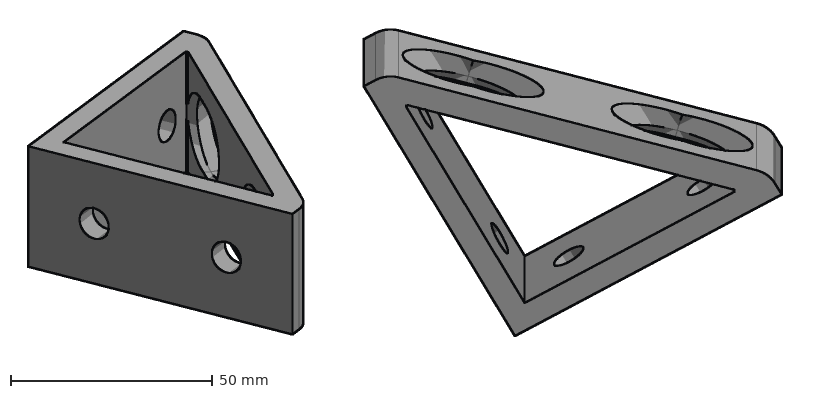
import cadquery as cq

leg_length = 76.2
height = 33.3
wall = 6.5
brace_reach = 82.7
tip_radius = 7.6
cavity_tip_flat = 0.6
screw_diameter = 8.4
access_diameter = 19.2
screw_positions = (leg_length / 4, leg_length * 3 / 4)

brace_end = brace_reach - leg_length
cavity_reach = brace_reach - wall * 2 ** 0.5
cavity_tip = cavity_reach - wall - cavity_tip_flat
cavity_blunt = wall + cavity_tip_flat
mid_height = height / 2


def make_body():
    """Triangular prism with rounded tips."""
    outline = [
        (0, 0),
        (leg_length, 0),
        (leg_length, brace_end),
        (brace_end, leg_length),
        (0, leg_length),
    ]
    body = cq.Workplane("XY").polyline(outline).close().extrude(height)
    tip_edges = cq.selectors.BoxSelector(
        (brace_end / 2, brace_end / 2, 0),
        (leg_length + 0.8, leg_length + 0.8, height),
    )
    return body.edges("|Z").edges(tip_edges).fillet(tip_radius)


def make_cavity():
    """Triangular opening that leaves two legs and a diagonal brace."""
    outline = [
        (wall, wall),
        (cavity_tip, wall),
        (cavity_tip, cavity_blunt),
        (cavity_blunt, cavity_tip),
        (wall, cavity_tip),
    ]
    return cq.Workplane("XY").polyline(outline).close().extrude(height)


def make_bore(position, direction):
    """Screw hole through a leg, widening past the leg into tool access through the brace."""
    if direction == "X":
        axis = cq.Vector(1, 0, 0)
        start = cq.Vector(0, position, mid_height)
    else:
        axis = cq.Vector(0, 1, 0)
        start = cq.Vector(position, 0, mid_height)
    screw = cq.Solid.makeCylinder(screw_diameter / 2, wall, start, axis)
    access_start = start + axis * wall
    access = cq.Solid.makeCylinder(access_diameter / 2, leg_length, access_start, axis)
    return cq.Workplane(screw).union(cq.Workplane(access))


result = make_body().cut(make_cavity())
for screw_position in screw_positions:
    for bore_direction in ("X", "Y"):
        result = result.cut(make_bore(screw_position, bore_direction))